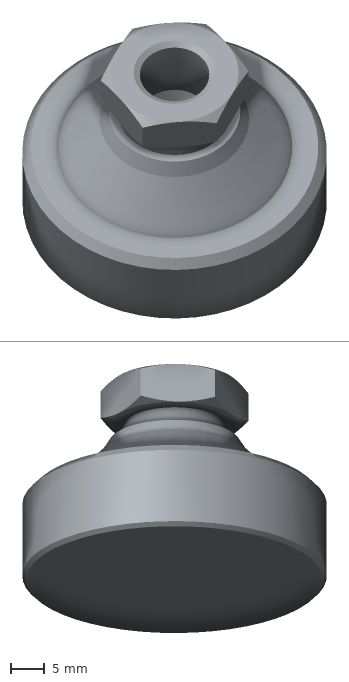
import cadquery as cq
import math

base_radius = 22.5
base_height = 13.15
top_chamfer = 1.25
bottom_chamfer = 0.6

socket_radius = 17.35
seat_depth = 6.0
shoulder_radius = 11.0
shoulder_height = 19.55
mouth_radius = 9.7
mouth_height = 21.55

ball_radius = 8.65
ball_centre_height = 19.75
overall_height = 30.5
hex_sides = 6
hex_height = 6.0
across_flats = 19.0
hex_face_radius = 9.45
hex_chamfer_angle = 30.0

bore_radius = 5.15
bore_depth = 10.35
drill_point_angle = 118.0
countersink_radius = 6.05
countersink_angle = 120.0

seat_height = base_height - seat_depth
hex_bottom = overall_height - hex_height
corner_radius = across_flats / math.sqrt(3)
hex_chamfer_height = (corner_radius - hex_face_radius) * math.tan(math.radians(hex_chamfer_angle))
countersink_depth = (countersink_radius - bore_radius) / math.tan(math.radians(countersink_angle / 2))
drill_point_depth = bore_radius / math.tan(math.radians(drill_point_angle / 2))


def revolve_profile(points):
    """Revolve a closed (radius, height) outline about the Z axis."""
    return cq.Workplane("XZ").polyline(points).close().revolve(360, (0, 0, 0), (0, 1, 0))


def make_ball():
    return cq.Workplane("XY").sphere(ball_radius).translate((0, 0, ball_centre_height))


def make_base():
    disc = revolve_profile([
        (0, 0),
        (base_radius - bottom_chamfer, 0),
        (base_radius, bottom_chamfer),
        (base_radius, base_height - top_chamfer),
        (base_radius - top_chamfer, base_height),
        (0, base_height),
    ])
    recess = cq.Workplane("XY").workplane(offset=seat_height).circle(socket_radius).extrude(seat_depth)
    return disc.cut(recess)


def make_socket():
    body = revolve_profile([
        (0, seat_height),
        (socket_radius, seat_height),
        (socket_radius, base_height),
        (shoulder_radius, shoulder_height),
        (mouth_radius, mouth_height),
        (0, mouth_height),
    ])
    return body.cut(make_ball())


def make_hex_head():
    """Hexagon with corners on +Y and -Y, its corners bevelled at both ends."""
    prism = (
        cq.Workplane("XY")
        .workplane(offset=hex_bottom)
        .polygon(hex_sides, 2 * corner_radius)
        .extrude(hex_height)
        .rotate((0, 0, 0), (0, 0, 1), 180 / hex_sides)
    )
    bevel_envelope = revolve_profile([
        (0, hex_bottom),
        (hex_face_radius, hex_bottom),
        (corner_radius, hex_bottom + hex_chamfer_height),
        (corner_radius, overall_height - hex_chamfer_height),
        (hex_face_radius, overall_height),
        (0, overall_height),
    ])
    return prism.intersect(bevel_envelope)


def make_bore():
    """Countersunk bore with a conical drill point."""
    return revolve_profile([
        (0, overall_height),
        (countersink_radius, overall_height),
        (bore_radius, overall_height - countersink_depth),
        (bore_radius, overall_height - bore_depth),
        (0, overall_height - bore_depth - drill_point_depth),
    ])


def make_stud():
    cutoff = cq.Workplane("XY").workplane(offset=hex_bottom).circle(ball_radius).extrude(hex_height)
    return make_ball().cut(cutoff).union(make_hex_head()).cut(make_bore())


base = make_base()
socket = make_socket()
stud = make_stud()

result = cq.Compound.makeCompound([base.solids().val(), socket.solids().val(), stud.solids().val()])